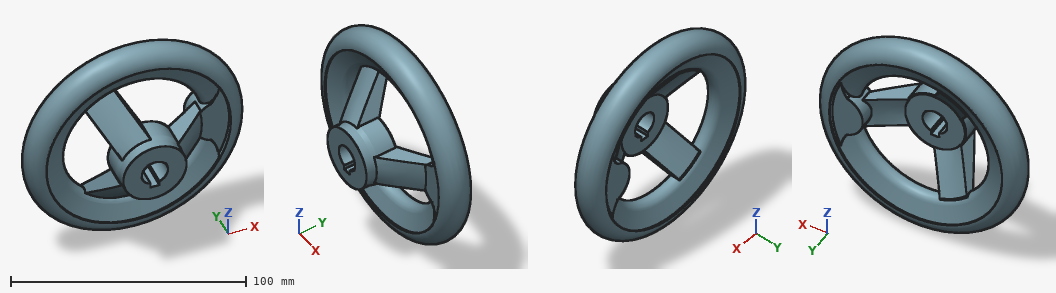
import cadquery as cq
import math

RIM_MID_RADIUS = 42.5
RIM_HALF = 7.5
RIM_STEP = 0.6
RIM_LAND = 0.2
RIM_BORE_RADIUS = 32.0
NOSE_RADIUS = 4.2

HUB_FRONT = -33.0
HUB_BACK = -16.5
HUB_RADIUS = 15.1
HUB_BACK_CHAMFER = 0.4
COLLAR_RADIUS = 14.5
COLLAR_LENGTH = 4.2
FLARE_LENGTH = 2.3

BORE_RADIUS = 6.0
KEY_WIDTH = 4.0
KEY_DEPTH = 7.8

SPOKE_COUNT = 3
SPOKE_WIDTH = 15.2
SPOKE_FRONT_OFFSET = 42.6
SPOKE_END_BACK = -5.0
SPOKE_OUTER_RADIUS = 35.5

BOSS_CENTER = 37.4
BOSS_RADIUS = 11.0
BOSS_FRONT = -12.8
BOSS_BACK = -1.0
FLANK_START = (33.9, 10.4)
FLANK_MIDDLE = (36.2, 14.4)
FLANK_END = (37.0, 20.6)


def revolve_about_y(profile):
    return profile.close().revolve(360, (0, 0, 0), (0, 1, 0))


def make_rim():
    mid_y = -RIM_HALF
    flank_radius = RIM_MID_RADIUS - RIM_LAND
    step_half = RIM_HALF - RIM_STEP
    nose_center = RIM_BORE_RADIUS + NOSE_RADIUS
    reach = flank_radius - nose_center
    angle = math.atan2(step_half, reach) + math.acos(NOSE_RADIUS / math.hypot(reach, step_half))
    tangent_radius = nose_center + NOSE_RADIUS * math.cos(angle)
    tangent_half = NOSE_RADIUS * math.sin(angle)
    profile = (
        cq.Workplane("XY")
        .moveTo(RIM_MID_RADIUS, mid_y - RIM_HALF)
        .threePointArc((RIM_MID_RADIUS + RIM_HALF, mid_y), (RIM_MID_RADIUS, mid_y + RIM_HALF))
        .lineTo(flank_radius, mid_y + RIM_HALF)
        .lineTo(flank_radius, mid_y + step_half)
        .lineTo(tangent_radius, mid_y + tangent_half)
        .threePointArc((RIM_BORE_RADIUS, mid_y), (tangent_radius, mid_y - tangent_half))
        .lineTo(flank_radius, mid_y - step_half)
        .lineTo(flank_radius, mid_y - RIM_HALF)
    )
    return revolve_about_y(profile)


def make_hub():
    collar_back = HUB_FRONT + COLLAR_LENGTH
    return revolve_about_y(cq.Workplane("XY").polyline([
        (0, HUB_FRONT),
        (COLLAR_RADIUS, HUB_FRONT),
        (COLLAR_RADIUS, collar_back),
        (HUB_RADIUS, collar_back + FLARE_LENGTH),
        (HUB_RADIUS, HUB_BACK - HUB_BACK_CHAMFER),
        (HUB_RADIUS - HUB_BACK_CHAMFER, HUB_BACK),
        (0, HUB_BACK),
    ]))


def make_spokes():
    """Cut the spokes out of a conical shell, so their faces are parts of cones."""
    shell = revolve_about_y(cq.Workplane("XY").polyline([
        (COLLAR_RADIUS, COLLAR_RADIUS - SPOKE_FRONT_OFFSET),
        (SPOKE_OUTER_RADIUS, SPOKE_OUTER_RADIUS - SPOKE_FRONT_OFFSET),
        (SPOKE_OUTER_RADIUS, SPOKE_END_BACK),
        (RIM_BORE_RADIUS, SPOKE_END_BACK),
        (COLLAR_RADIUS, HUB_BACK),
    ]))
    bar = cq.Workplane("XY").box(
        RIM_MID_RADIUS, -2 * HUB_FRONT, SPOKE_WIDTH, centered=(False, True, True)
    )
    bars = bar
    for index in range(1, SPOKE_COUNT):
        bars = bars.union(bar.rotate((0, 0, 0), (0, 1, 0), index * 360 / SPOKE_COUNT))
    return shell.intersect(bars)


def boss_prism(front, back, inner_radius):
    """Boss outline with its flanks, kept between inner_radius and the rim step."""
    plane = cq.Workplane("XZ", origin=(0, back, 0))
    length = back - front
    mirrored = [(x, -z) for x, z in (FLANK_END, FLANK_MIDDLE, FLANK_START)]
    web = (
        plane.moveTo(*FLANK_START)
        .threePointArc(FLANK_MIDDLE, FLANK_END)
        .lineTo(RIM_MID_RADIUS, FLANK_END[1])
        .lineTo(RIM_MID_RADIUS, -FLANK_END[1])
        .lineTo(*mirrored[0])
        .threePointArc(mirrored[1], mirrored[2])
        .close()
        .extrude(length)
    )
    disc = plane.center(BOSS_CENTER, 0).circle(BOSS_RADIUS).extrude(length)
    ring = plane.circle(RIM_MID_RADIUS - RIM_LAND).circle(inner_radius).extrude(length)
    return web.union(disc).intersect(ring)


def make_bore():
    length = -HUB_FRONT
    bore = cq.Workplane("XZ").circle(BORE_RADIUS).extrude(length)
    key = cq.Workplane("XZ").center(0, -KEY_DEPTH / 2).rect(KEY_WIDTH, KEY_DEPTH).extrude(length)
    return bore.union(key)


boss = boss_prism(BOSS_FRONT, BOSS_BACK, HUB_RADIUS)
recess = boss_prism(-2 * RIM_HALF, BOSS_FRONT, SPOKE_FRONT_OFFSET + BOSS_FRONT)

result = make_rim().union(make_hub()).union(make_spokes()).union(boss)
result = result.cut(recess).cut(make_bore())